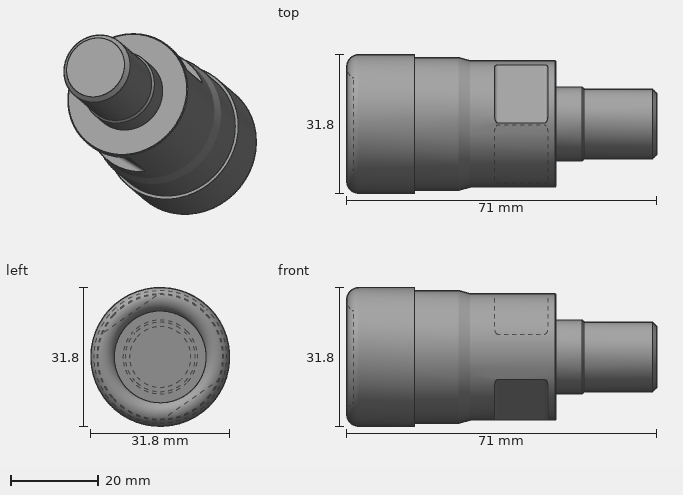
import cadquery as cq
import math

TOTAL_LENGTH = 71.0

CAP_RADIUS = 15.9
CAP_LENGTH = 15.55
RIM_RADIUS = 2.85
FACE_RADIUS = 10.5

SHOULDER_RADIUS = 30.4 / 2
SHOULDER_END = 25.7
BARREL_RADIUS = 29.0 / 2
BARREL_START = 28.3
BARREL_END = 47.9
BARREL_CHAMFER = 0.2
NECK_RADIUS = 17.0 / 2
NECK_END = 54.4
SHANK_RADIUS = 16.0 / 2
NECK_CHAMFER = NECK_RADIUS - SHANK_RADIUS
SHANK_CHAMFER = 1.0

ACROSS_FLATS = 24.0
FLAT_START = 33.9
FLAT_END = 46.1
FLAT_CORNER_RADIUS = 1.6 / 2
FLAT_ANGLE = 55.0


def revolve_about_x(outline):
    return outline.close().revolve(360, (0, 0, 0), (1, 0, 0))


def make_cap():
    """Turned cap whose rim is a half-round that curls inward to the recessed face."""
    rim_center_radius = CAP_RADIUS - RIM_RADIUS
    face_offset = rim_center_radius - FACE_RADIUS
    face_depth = RIM_RADIUS - math.sqrt(RIM_RADIUS**2 - face_offset**2)
    outline = (
        cq.Workplane("XY")
        .moveTo(face_depth, 0)
        .lineTo(face_depth, FACE_RADIUS)
        .threePointArc((0, rim_center_radius), (RIM_RADIUS, CAP_RADIUS))
        .lineTo(CAP_LENGTH, CAP_RADIUS)
        .lineTo(CAP_LENGTH, 0)
    )
    return revolve_about_x(outline)


def make_flat_cutter(angle):
    """Block that mills one flat, with rounded corners at both ends of its floor."""
    floor_height = ACROSS_FLATS / 2
    length = FLAT_END - FLAT_START
    block = (
        cq.Workplane("XY")
        .box(length, 2 * BARREL_RADIUS, BARREL_RADIUS, centered=(False, True, False))
        .edges("<Z and |Y")
        .fillet(FLAT_CORNER_RADIUS)
        .translate((FLAT_START, 0, floor_height))
    )
    return block.rotate((0, 0, 0), (1, 0, 0), angle - 90)


def make_housing():
    """Stepped barrel with a neck, a chamfered shank and two wrench flats."""
    outline = (
        cq.Workplane("XY")
        .moveTo(CAP_LENGTH, 0)
        .lineTo(CAP_LENGTH, SHOULDER_RADIUS)
        .lineTo(SHOULDER_END, SHOULDER_RADIUS)
        .lineTo(BARREL_START, BARREL_RADIUS)
        .lineTo(BARREL_END - BARREL_CHAMFER, BARREL_RADIUS)
        .lineTo(BARREL_END, BARREL_RADIUS - BARREL_CHAMFER)
        .lineTo(BARREL_END, NECK_RADIUS)
        .lineTo(NECK_END - NECK_CHAMFER, NECK_RADIUS)
        .lineTo(NECK_END, SHANK_RADIUS)
        .lineTo(TOTAL_LENGTH - SHANK_CHAMFER, SHANK_RADIUS)
        .lineTo(TOTAL_LENGTH, SHANK_RADIUS - SHANK_CHAMFER)
        .lineTo(TOTAL_LENGTH, 0)
    )
    housing = revolve_about_x(outline)
    for angle in (FLAT_ANGLE, FLAT_ANGLE + 180):
        housing = housing.cut(make_flat_cutter(angle))
    return housing


cap = make_cap()
housing = make_housing()

result = cq.Compound.makeCompound([cap.val(), housing.val()])